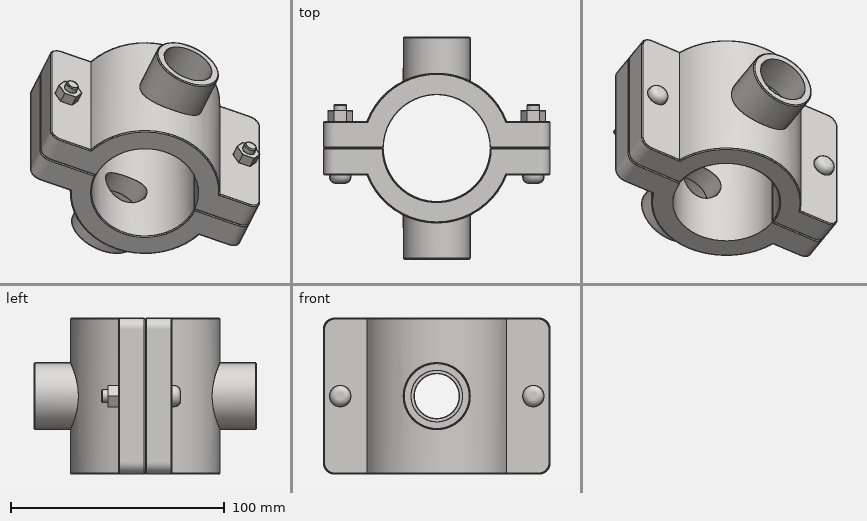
import cadquery as cq
import math

height = 73
bore_radius = 25
barrel_radius = 35
clamp_width = 106
ear_thickness = 12.5
ear_corner_radius = 5.3
edge_chamfer = 0.5

socket_reach = 52
socket_diameter = 31.35
socket_bore = 24.12
port_diameter = 21

bolt_spacing = 90.3
bolt_diameter = 6
bolt_tip = 8
bolt_tip_chamfer = 0.5
head_diameter = 10
head_height = 4
head_rounding = 3
nut_across_flats = 10
nut_height = 5

half_width = clamp_width / 2
half_height = height / 2
ear_root = math.sqrt(barrel_radius**2 - ear_thickness**2)


def front_cylinder(diameter, start, end):
    """Cylinder along -Y at mid height, from distance start to distance end."""
    return cq.Workplane("XZ", origin=(0, -start, 0)).circle(diameter / 2).extrude(end - start)


def make_shell(break_bore_ends):
    """Front half of the clamp without its socket, with its convex edges broken.

    The end rims of the bore stay sharp unless break_bore_ends is set.
    """
    shell = (
        cq.Workplane("XY", origin=(0, 0, -half_height))
        .moveTo(bore_radius, 0)
        .lineTo(half_width, 0)
        .lineTo(half_width, -ear_thickness)
        .lineTo(ear_root, -ear_thickness)
        .threePointArc((0, -barrel_radius), (-ear_root, -ear_thickness))
        .lineTo(-half_width, -ear_thickness)
        .lineTo(-half_width, 0)
        .lineTo(-bore_radius, 0)
        .threePointArc((0, -bore_radius), (bore_radius, 0))
        .close()
        .extrude(height)
    )
    shell = shell.faces("<X or >X").edges("|Y").fillet(ear_corner_radius)
    end_rims = shell.faces("<Z or >Z").edges("not |Y").vals()
    ear_sides = shell.faces("<X or >X").edges("|Z").vals()
    ear_corners = shell.edges("%CIRCLE").filter(lambda edge: abs(edge.Center().x) > ear_root).vals()
    parting_rim = shell.faces(">Y").edges().vals()
    rims = set(end_rims + ear_sides + ear_corners + parting_rim)
    if not break_bore_ends:
        bore_wall_centroid = (0, -2 * bore_radius / math.pi, 0)
        bore_wall = shell.faces(cq.selectors.NearestToPointSelector(bore_wall_centroid))
        rims -= set(bore_wall.edges("%CIRCLE").vals())
    return shell.newObject(list(rims)).chamfer(edge_chamfer)


def make_half(break_bore_ends):
    """Front half of the clamp with its stepped pipe socket."""
    wall_middle = (bore_radius + barrel_radius) / 2
    boss = front_cylinder(socket_diameter, wall_middle, socket_reach)
    boss = boss.faces("<Y").edges().chamfer(edge_chamfer)
    half = make_shell(break_bore_ends).union(boss)
    half = half.cut(front_cylinder(port_diameter, 0, socket_reach))
    return half.cut(front_cylinder(socket_bore, barrel_radius, socket_reach))


def make_clamp():
    """Two opposed halves in one body, with a V groove along the parting plane."""
    front_half = make_half(break_bore_ends=True)
    back_half = make_half(break_bore_ends=False).mirror("XZ")
    clamp = front_half.union(back_half)
    holes = (
        cq.Workplane("XZ", origin=(0, ear_thickness, 0))
        .rarray(bolt_spacing, 1, 2, 1)
        .circle(bolt_diameter / 2)
        .extrude(2 * ear_thickness)
    )
    return clamp.cut(holes)


def make_fastener(x):
    """Round-headed bolt through both ears with its hex nut, as one solid."""
    shank = (
        cq.Workplane("XZ", origin=(x, -ear_thickness, 0))
        .circle(bolt_diameter / 2)
        .extrude(-(2 * ear_thickness + bolt_tip))
        .faces(">Y")
        .chamfer(bolt_tip_chamfer)
    )
    head = (
        cq.Workplane("XZ", origin=(x, -ear_thickness, 0))
        .circle(head_diameter / 2)
        .extrude(head_height)
        .faces("<Y")
        .edges()
        .fillet(head_rounding)
    )
    nut_across_corners = nut_across_flats / math.cos(math.pi / 6)
    nut = (
        cq.Workplane("XZ", origin=(x, ear_thickness, 0))
        .polygon(6, nut_across_corners)
        .extrude(-nut_height)
    )
    return shank.union(head).union(nut)


clamp = make_clamp()
fasteners = [make_fastener(x) for x in (-bolt_spacing / 2, bolt_spacing / 2)]

result = cq.Compound.makeCompound([clamp.val(), *[fastener.val() for fastener in fasteners]])